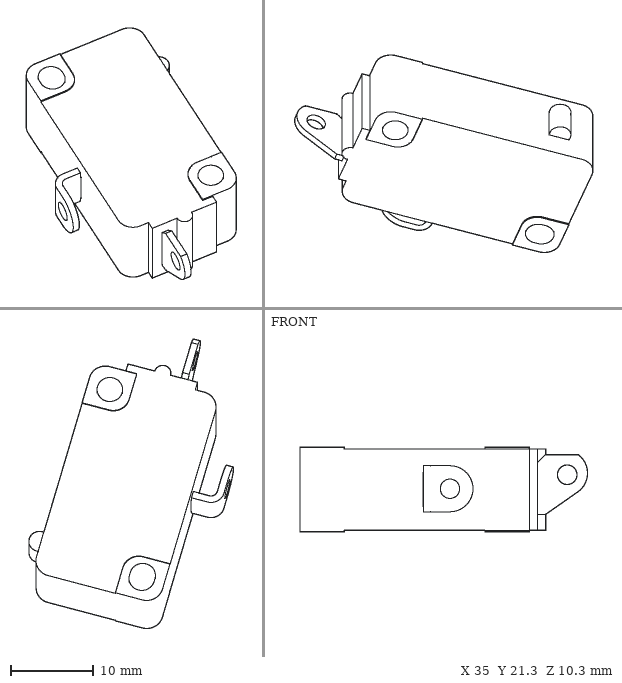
import cadquery as cq
import math


CASE_LENGTH = 27.9
CASE_WIDTH = 15.9
CASE_THICKNESS = 9.9
CORNER_RADIUS = 2.0
PARTING_Z = 2.05
CASE_RIGHT = CASE_LENGTH / 2
CASE_BACK = CASE_WIDTH / 2
CASE_TOP = CASE_THICKNESS / 2

OVERALL_THICKNESS = 10.3
PAD_STEP = (OVERALL_THICKNESS - CASE_THICKNESS) / 2
PAD_SIZE = 5.4
PAD_RADIUS = 2.0
MOUNT_DIAMETER = 3.1
MOUNT_SPACING_X = 22.2
MOUNT_SPACING_Y = 10.3
MOUNT_SLOT_LENGTH = 3.5
MOUNT_X = MOUNT_SPACING_X / 2
MOUNT_Y = MOUNT_SPACING_Y / 2

PANEL_MARGIN = 1.0
PANEL_DEPTH = 0.5
PANEL_CORNER_RADIUS = CORNER_RADIUS - PANEL_MARGIN
PANEL_PAD_RADIUS = PAD_RADIUS + PANEL_MARGIN

BLOCK_REACH = 1.0
BLOCK_BACK_Y = 3.95
BLOCK_FRONT_Y = -4.85
BLOCK_RIGHT = CASE_RIGHT + BLOCK_REACH
RIB_RADIUS = 1.0
RIB_Y = -0.45

PLUNGER_WIDTH = 2.6
PLUNGER_X = -9.0
PLUNGER_REACH = 1.75
PLUNGER_HEIGHT = 2 * PARTING_Z

TERMINAL_THICKNESS = 0.85
TERMINAL_HOLE_DIAMETER = 2.35
OVERLAP = 1.0

COM_LEFT = 1.1
COM_RIGHT = 7.1
COM_REACH = 3.65
COM_HEIGHT = 5.6
COM_Z = 0.1
COM_BEND_RADIUS = 1.65
COM_SLOT_CLEARANCE = 0.1
COM_SLOT_DEPTH = 0.5
COM_FRONT = -CASE_BACK - COM_REACH
COM_EYE_X = COM_RIGHT - COM_HEIGHT / 2

NO_Y = -3.1
NO_REACH = 7.09
NO_TIP = CASE_RIGHT + NO_REACH
NO_TOP = 4.25
NO_BOTTOM = -3.05
NO_EYE_RADIUS = 2.8
NO_EYE_X = NO_TIP - NO_EYE_RADIUS
NO_EYE_Z = 2.0
NO_HOLE_X = 18.55
NO_HOLE_Z = 1.8
NO_CHAMFER = 0.95
NO_SHOULDER_X = BLOCK_RIGHT + NO_CHAMFER


def case_layer(bottom, top):
    """Rounded case with its terminal block, key rib and corner pads, between two heights."""
    height = top - bottom
    case = cq.Workplane("XY", origin=(0, 0, bottom)).rect(CASE_LENGTH, CASE_WIDTH)
    case = case.extrude(height).edges("|Z").fillet(CORNER_RADIUS)
    block = (
        cq.Workplane("XY", origin=(CASE_RIGHT - OVERLAP, BLOCK_FRONT_Y, bottom))
        .rect(OVERLAP + BLOCK_REACH, BLOCK_BACK_Y - BLOCK_FRONT_Y, centered=False)
        .extrude(height)
    )
    rib = cq.Workplane("XY", origin=(BLOCK_RIGHT, RIB_Y, bottom)).circle(RIB_RADIUS).extrude(height)
    layer = case.union(block).union(rib)
    pad_bottom = bottom - PAD_STEP if bottom == -CASE_TOP else bottom
    pad_top = top + PAD_STEP if top == CASE_TOP else top
    for side in (1, -1):
        layer = layer.union(mounting_pad(side, pad_bottom, pad_top))
    return layer


def mounting_pad(side, bottom, top):
    """Corner pad between two heights: side 1 is the +X +Y corner, side -1 its opposite."""
    pad = (
        cq.Workplane("XY", origin=(0, 0, bottom))
        .center(side * (CASE_RIGHT - PAD_SIZE / 2), side * (CASE_BACK - PAD_SIZE / 2))
        .rect(PAD_SIZE, PAD_SIZE)
        .extrude(top - bottom)
    )
    outer, inner = (">X and >Y", "<X and <Y") if side > 0 else ("<X and <Y", ">X and >Y")
    pad = pad.edges("|Z").edges(outer).fillet(CORNER_RADIUS)
    return pad.edges("|Z").edges(inner).fillet(PAD_RADIUS)


def mounting_holes():
    """Round hole in one pad and a hole lengthened along X in the other."""
    round_hole = cq.Workplane("XY").center(MOUNT_X, MOUNT_Y).circle(MOUNT_DIAMETER / 2)
    long_hole = cq.Workplane("XY").center(-MOUNT_X, -MOUNT_Y).slot2D(MOUNT_SLOT_LENGTH, MOUNT_DIAMETER)
    return round_hole.extrude(CASE_THICKNESS, both=True).union(
        long_hole.extrude(CASE_THICKNESS, both=True)
    )


def label_panel():
    """Panel inset from the case edges and running around both mounting pads."""
    left = -CASE_RIGHT + PANEL_MARGIN
    back = CASE_BACK - PANEL_MARGIN
    right = CASE_RIGHT - PANEL_MARGIN
    pad_x = CASE_RIGHT - PAD_SIZE - PANEL_MARGIN
    pad_y = CASE_BACK - PAD_SIZE - PANEL_MARGIN
    notch_y = BLOCK_FRONT_Y + PANEL_MARGIN
    corner = PANEL_CORNER_RADIUS
    sweep = PANEL_PAD_RADIUS
    return (
        cq.Workplane("XY", origin=(0, 0, CASE_TOP))
        .moveTo(left, -pad_y)
        .lineTo(left, back - corner)
        .radiusArc((left + corner, back), corner)
        .lineTo(pad_x, back)
        .lineTo(pad_x, pad_y + sweep)
        .radiusArc((pad_x + sweep, pad_y), -sweep)
        .lineTo(CASE_RIGHT, pad_y)
        .lineTo(CASE_RIGHT, notch_y)
        .lineTo(right, notch_y)
        .lineTo(right, -back + corner)
        .radiusArc((right - corner, -back), corner)
        .lineTo(-pad_x, -back)
        .lineTo(-pad_x, -pad_y - sweep)
        .radiusArc((-pad_x - sweep, -pad_y), -sweep)
        .close()
        .extrude(-PANEL_DEPTH)
    )


def plunger():
    """Round-nosed plunger standing out of the +Y side."""
    half_width = PLUNGER_WIDTH / 2
    root = CASE_BACK - OVERLAP
    tip = CASE_BACK + PLUNGER_REACH
    shoulder = tip - half_width
    return (
        cq.Workplane("XY")
        .moveTo(PLUNGER_X - half_width, root)
        .lineTo(PLUNGER_X - half_width, shoulder)
        .threePointArc((PLUNGER_X, tip), (PLUNGER_X + half_width, shoulder))
        .lineTo(PLUNGER_X + half_width, root)
        .close()
        .extrude(PLUNGER_HEIGHT / 2, both=True)
    )


def common_slot():
    """Shallow clearance slot in the case wall around the common terminal."""
    return (
        cq.Workplane("XY")
        .center(COM_LEFT + TERMINAL_THICKNESS / 2, -CASE_BACK)
        .rect(TERMINAL_THICKNESS + 2 * COM_SLOT_CLEARANCE, 2 * COM_SLOT_DEPTH)
        .extrude(PARTING_Z, both=True)
    )


def common_terminal():
    """L-bent strip whose free leg ends in a full round with a hole."""
    root = -CASE_BACK + OVERLAP
    inner_x = COM_LEFT + TERMINAL_THICKNESS
    inner_y = COM_FRONT + TERMINAL_THICKNESS
    bend_x = COM_LEFT + COM_BEND_RADIUS
    bend_y = COM_FRONT + COM_BEND_RADIUS
    strip = (
        cq.Workplane("XY", origin=(0, 0, COM_Z))
        .moveTo(COM_LEFT, root)
        .lineTo(COM_LEFT, bend_y)
        .radiusArc((bend_x, COM_FRONT), -COM_BEND_RADIUS)
        .lineTo(COM_RIGHT, COM_FRONT)
        .lineTo(COM_RIGHT, inner_y)
        .lineTo(bend_x, inner_y)
        .radiusArc((inner_x, bend_y), COM_BEND_RADIUS - TERMINAL_THICKNESS)
        .lineTo(inner_x, root)
        .close()
        .extrude(COM_HEIGHT / 2, both=True)
    )
    half_height = COM_HEIGHT / 2
    round_end = (
        cq.Workplane("XZ", origin=(0, root, COM_Z))
        .moveTo(COM_LEFT, -half_height)
        .lineTo(COM_EYE_X, -half_height)
        .threePointArc((COM_RIGHT, 0), (COM_EYE_X, half_height))
        .lineTo(COM_LEFT, half_height)
        .close()
        .extrude(root - COM_FRONT)
    )
    hole = (
        cq.Workplane("XZ", origin=(COM_EYE_X, inner_y, COM_Z))
        .circle(TERMINAL_HOLE_DIAMETER / 2)
        .extrude(TERMINAL_THICKNESS)
    )
    return strip.intersect(round_end).cut(hole)


def open_terminal():
    """Flat blade tapering to a round eye; its lower edge is tangent to the eye."""
    root = BLOCK_RIGHT - OVERLAP
    arc_start_x = NO_EYE_X + math.sqrt(NO_EYE_RADIUS**2 - (NO_TOP - NO_EYE_Z) ** 2)
    run = NO_SHOULDER_X - NO_EYE_X
    drop = NO_BOTTOM - NO_EYE_Z
    angle = math.atan2(drop, run) + math.acos(NO_EYE_RADIUS / math.hypot(run, drop))
    tangent_x = NO_EYE_X + NO_EYE_RADIUS * math.cos(angle)
    tangent_z = NO_EYE_Z + NO_EYE_RADIUS * math.sin(angle)
    blade = (
        cq.Workplane("XZ", origin=(0, NO_Y, 0))
        .moveTo(root, NO_BOTTOM)
        .lineTo(NO_SHOULDER_X, NO_BOTTOM)
        .lineTo(tangent_x, tangent_z)
        .threePointArc((NO_TIP, NO_EYE_Z), (arc_start_x, NO_TOP))
        .lineTo(NO_SHOULDER_X, NO_TOP)
        .lineTo(BLOCK_RIGHT, NO_TOP - NO_CHAMFER)
        .lineTo(root, NO_TOP - NO_CHAMFER)
        .close()
        .extrude(TERMINAL_THICKNESS / 2, both=True)
    )
    hole = (
        cq.Workplane("XZ", origin=(NO_HOLE_X, NO_Y, NO_HOLE_Z))
        .circle(TERMINAL_HOLE_DIAMETER / 2)
        .extrude(TERMINAL_THICKNESS, both=True)
    )
    return blade.cut(hole)


base = case_layer(-CASE_TOP, PARTING_Z).cut(common_slot())
panel = label_panel()
cover = case_layer(PARTING_Z, CASE_TOP).cut(panel).union(panel, clean=False)

result = base.union(cover, clean=False)
result = result.cut(mounting_holes(), clean=False)
for piece in (plunger(), common_terminal(), open_terminal()):
    result = result.union(piece, clean=False)